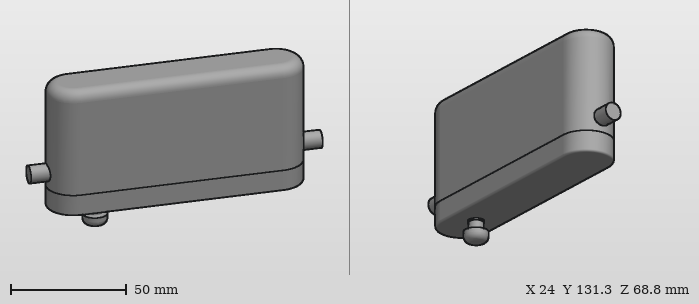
import cadquery as cq

overall_length = 131.3
shell_width = 24.0
pin_length = 8.0
pin_diameter = 8.0
shell_length = overall_length - 2 * pin_length

base_height = 9.8
shell_height = 58.7
pin_height = 17.0
top_fillet = 5.0
bottom_fillet = 1.0

button_y = -35.8
button_drop = 10.1
collar_diameter = 7.2
collar_height = 0.8
stem_diameter = 6.7
head_diameter = 11.0
head_height = 5.0
head_fillet = 2.9
stem_foot_fillet = 0.5


def rounded_block(bottom, top):
    """Upright block with full-round ends, between two heights."""
    return (
        cq.Workplane("XY", origin=(0, 0, bottom))
        .slot2D(shell_length, shell_width, angle=90)
        .extrude(top - bottom)
    )


def make_housing():
    """Upper shell with a rounded top rim and a round pin on each end."""
    shell = rounded_block(base_height, shell_height).faces(">Z").edges().fillet(top_fillet)
    pins = (
        cq.Workplane("XZ", origin=(0, 0, pin_height))
        .circle(pin_diameter / 2)
        .extrude(overall_length / 2, both=True)
    )
    return shell.union(pins)


def make_base():
    """Lower shell with a softened bottom rim."""
    return rounded_block(0, base_height).faces("<Z").edges().fillet(bottom_fillet)


def make_button():
    """Collar, stem and rounded head hanging below the base, turned about the button axis."""
    collar_radius = collar_diameter / 2
    stem_radius = stem_diameter / 2
    head_radius = head_diameter / 2
    head_top = head_height - button_drop
    profile = (
        cq.Workplane("XZ", origin=(0, button_y, 0))
        .lineTo(collar_radius, 0)
        .lineTo(collar_radius, -collar_height)
        .lineTo(stem_radius, -collar_height)
        .lineTo(stem_radius, head_top + stem_foot_fillet)
        .tangentArcPoint((stem_foot_fillet, -stem_foot_fillet))
        .lineTo(head_radius, head_top)
        .lineTo(head_radius, head_fillet - button_drop)
        .tangentArcPoint((-head_fillet, -head_fillet))
        .lineTo(0, -button_drop)
        .close()
    )
    return profile.revolve(360, (0, 0, 0), (0, 1, 0))


housing = make_housing()
base = make_base()
button = make_button()

result = cq.Compound.makeCompound([body.solids().val() for body in (housing, base, button)])